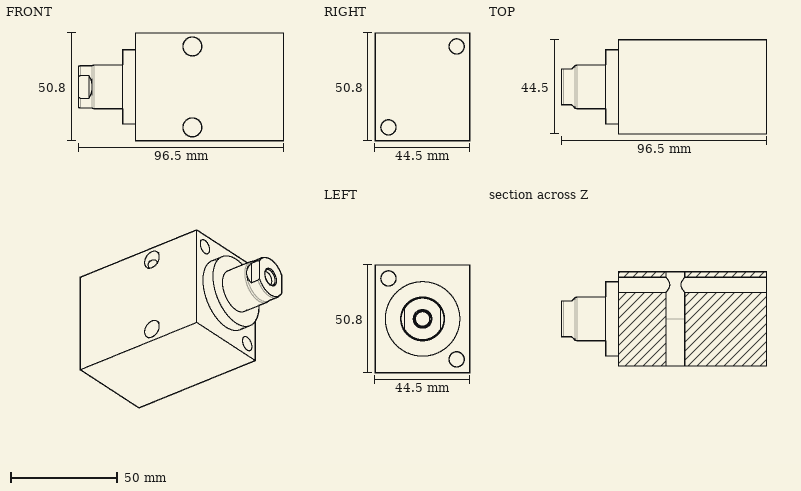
import cadquery as cq

overall_length = 96.5
body_length = 69.8
body_width = 44.5
body_height = 50.8
body_start = overall_length - body_length

collar_diameter = 35.0
collar_thickness = 6.0
rod_radius = 10.3
neck_radius = 10.0
neck_end = 6.4
shoulder_taper_length = 1.0
tip_taper_length = 1.0
tip_taper_depth = 0.3

flat_spacing = 17.0
flat_length = 4.9
cutter_clearance = 1.0

bore_diameter = 6.8
bore_mouth_diameter = 8.8
bore_depth = 19.3
bore_chamfer_depth = 0.5
bore_taper_length = 1.5

hole_spacing_z = 38.0
axial_hole_spacing_y = 32.0
axial_hole_diameter = 7.0
cross_hole_diameter = 8.8
cross_hole_x = 53.6


def make_body():
    body = cq.Workplane("XY").box(body_length, body_width, body_height)
    return body.translate((body_start + body_length / 2, 0, 0))


def make_collar():
    collar = cq.Workplane("YZ", origin=(body_start - collar_thickness, 0, 0))
    return collar.circle(collar_diameter / 2).extrude(collar_thickness)


def make_rod():
    profile = [
        (0, 0),
        (0, neck_radius - tip_taper_depth),
        (tip_taper_length, neck_radius),
        (neck_end, neck_radius),
        (neck_end + shoulder_taper_length, rod_radius),
        (body_start, rod_radius),
        (body_start, 0),
    ]
    return cq.Workplane("XY").polyline(profile).close().revolve(360, (0, 0, 0), (1, 0, 0))


def make_flat_cutter(side):
    """Material removed beside one flat; side is +1 for +Y and -1 for -Y."""
    inner = flat_spacing / 2
    outer = rod_radius + cutter_clearance
    ramp_end = flat_length + outer - inner
    profile = [
        (0, side * inner),
        (flat_length, side * inner),
        (ramp_end, side * outer),
        (0, side * outer),
    ]
    return cq.Workplane("XY").polyline(profile).close().extrude(rod_radius, both=True)


def make_bore():
    """Blind bore with a 45 degree mouth chamfer followed by a slender taper."""
    mouth_radius = bore_mouth_diameter / 2
    bore_radius = bore_diameter / 2
    taper_radius = mouth_radius - bore_chamfer_depth
    profile = [
        (0, 0),
        (0, mouth_radius),
        (bore_chamfer_depth, taper_radius),
        (bore_chamfer_depth + bore_taper_length, bore_radius),
        (bore_depth, bore_radius),
        (bore_depth, 0),
    ]
    return cq.Workplane("XY").polyline(profile).close().revolve(360, (0, 0, 0), (1, 0, 0))


def make_axial_hole(corner):
    """Through hole along X at the (+Y, +Z) corner for +1, or (-Y, -Z) for -1."""
    center = (corner * axial_hole_spacing_y / 2, corner * hole_spacing_z / 2)
    plane = cq.Workplane("YZ", origin=(body_start, 0, 0))
    return plane.center(*center).circle(axial_hole_diameter / 2).extrude(body_length)


def make_cross_hole(side):
    """Through hole along Y, above the axis for +1 and below it for -1."""
    plane = cq.Workplane("XZ").center(cross_hole_x, side * hole_spacing_z / 2)
    return plane.circle(cross_hole_diameter / 2).extrude(body_width / 2, both=True)


result = make_body().union(make_collar()).union(make_rod()).cut(make_bore())
for sign in (1, -1):
    result = result.cut(make_flat_cutter(sign))
    result = result.cut(make_axial_hole(sign))
    result = result.cut(make_cross_hole(sign))